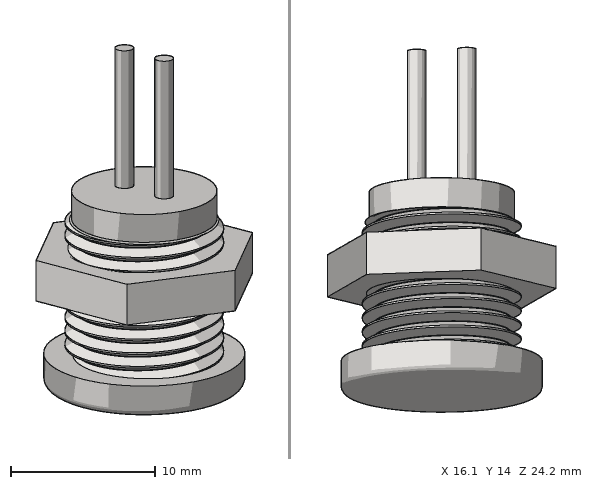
import cadquery as cq
import math

TOTAL_HEIGHT = 24.25
ACROSS_FLATS = 13.95

FLANGE_DIAMETER = ACROSS_FLATS
FLANGE_HEIGHT = 2.25
FLANGE_FILLET = 0.5
CAP_DIAMETER = 10.1
PIN_LENGTH = 10.1
HOUSING_HEIGHT = TOTAL_HEIGHT - PIN_LENGTH
CAP_BOTTOM = 12.1
THREAD_TOP = 12.13

TEN_PITCHES = 10.0
PITCH = TEN_PITCHES / 10
CREST_RADIUS = 5.5
ROOT_RADIUS = 4.75
CREST_WIDTH = PITCH / 8
ROOT_WIDTH = 0.05
CREST_HEIGHT_AT_X = 2.28

NUT_BOTTOM = 7.08
NUT_THICKNESS = 2.98

PIN_DIAMETER = 1.3
PIN_SPACING = 3.52


def helix_edge(radius, height):
    """One right-handed turn that starts on the +X side at the given height."""
    helix = cq.Wire.makeHelix(PITCH, PITCH, radius)
    return helix.translate(cq.Vector(0, 0, height)).Edges()[0]


def axis_edge(height):
    """One pitch of the central axis."""
    return cq.Edge.makeLine(cq.Vector(0, 0, height), cq.Vector(0, 0, height + PITCH))


def thread_profile(height):
    """Root, flank, crest and flank points of one pitch, as (radius, height)."""
    flank_rise = (PITCH - ROOT_WIDTH - CREST_WIDTH) / 2
    crest_start = height + ROOT_WIDTH + flank_rise
    crest_end = crest_start + CREST_WIDTH
    return [
        (ROOT_RADIUS, height),
        (ROOT_RADIUS, height + ROOT_WIDTH),
        (CREST_RADIUS, crest_start),
        (CREST_RADIUS, crest_end),
        (ROOT_RADIUS, height + PITCH),
    ]


def make_turn_faces(height):
    """Helical faces of one thread turn: root, lower flank, crest and upper flank."""
    edges = [helix_edge(radius, z) for radius, z in thread_profile(height)]
    return [cq.Face.makeRuledSurface(lower, upper) for lower, upper in zip(edges, edges[1:])]


def make_end_faces(height):
    """Helical end of the rod and the radial step that closes it."""
    helical_end = cq.Face.makeRuledSurface(helix_edge(ROOT_RADIUS, height), axis_edge(height))
    outline = [(0, height), *thread_profile(height), (0, height + PITCH)]
    step = cq.Wire.makePolygon([cq.Vector(radius, 0, z) for radius, z in outline], close=True)
    return [helical_end, cq.Face.makeFromWires(step)]


def make_threaded_rod():
    """Solid rod whose surface is the thread, cut flat at both ends."""
    start = CREST_HEIGHT_AT_X - (PITCH + ROOT_WIDTH) / 2 - PITCH
    turns = math.ceil((THREAD_TOP - start) / PITCH)
    end = start + turns * PITCH
    faces = make_end_faces(start) + make_end_faces(end)
    for turn in range(turns):
        faces += make_turn_faces(start + turn * PITCH)
    rod = cq.Workplane(cq.Solid.makeSolid(cq.Shell.makeShell(faces)))
    threaded_zone = (
        cq.Workplane("XY", origin=(0, 0, FLANGE_HEIGHT))
        .circle(FLANGE_DIAMETER / 2)
        .extrude(THREAD_TOP - FLANGE_HEIGHT)
    )
    return threaded_zone.intersect(rod)


def make_housing():
    """Filleted flange, threaded barrel and plain cap."""
    flange = (
        cq.Workplane("XY")
        .circle(FLANGE_DIAMETER / 2)
        .extrude(FLANGE_HEIGHT)
        .faces("<Z")
        .edges()
        .fillet(FLANGE_FILLET)
    )
    cap = (
        cq.Workplane("XY", origin=(0, 0, CAP_BOTTOM))
        .circle(CAP_DIAMETER / 2)
        .extrude(HOUSING_HEIGHT - CAP_BOTTOM)
    )
    return flange.union(make_threaded_rod()).union(cap)


def make_nut(housing):
    """Hexagonal nut with an internal thread that matches the housing."""
    across_corners = ACROSS_FLATS / math.cos(math.pi / 6)
    blank = (
        cq.Workplane("XY", origin=(0, 0, NUT_BOTTOM))
        .polygon(6, across_corners)
        .extrude(NUT_THICKNESS)
    )
    return blank.cut(housing, clean=False)


def make_pin(x):
    """Round pin standing on the cap."""
    return (
        cq.Workplane("XY", origin=(x, 0, HOUSING_HEIGHT))
        .circle(PIN_DIAMETER / 2)
        .extrude(PIN_LENGTH)
    )


housing = make_housing()
nut = make_nut(housing)
pins = [make_pin(side * PIN_SPACING / 2) for side in (-1, 1)]

result = cq.Compound.makeCompound([
    housing.solids().val(),
    nut.solids().val(),
    *[pin.val() for pin in pins],
])